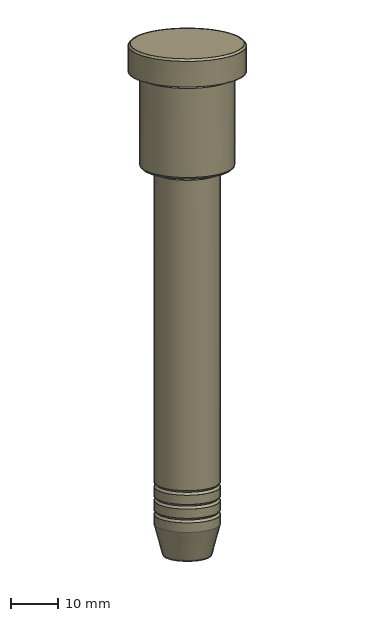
import cadquery as cq
import math

total_length = 112
head_diameter = 25.0
body_diameter = 20.0
shaft_diameter = 14.0

head_height = 6.0
body_bottom = total_length - 27.0
head_bottom = total_length - head_height

head_chamfer = 0.5
body_chamfer = 0.5
undercut_depth = 0.3
undercut_land = 0.6
undercut_height = 1.0

taper_length = 7.0
taper_angle = 15
tip_fillet = 0.5

groove_count = 3
groove_pitch = 3.0
groove_width = 1.0
groove_depth = groove_width / 2
lowest_groove = 9.5


def cylinder(diameter, bottom, top):
    return cq.Workplane("XY").workplane(offset=bottom).circle(diameter / 2).extrude(top - bottom)


def revolve_profile(points):
    return cq.Workplane("XZ").polyline(points).close().revolve(360, (0, 0, 0), (0, 1, 0))


def undercut(diameter, shoulder):
    """Relief ring below a shoulder, sloping back out to the full diameter."""
    outer = diameter / 2
    inner = outer - undercut_depth
    return revolve_profile([
        (inner, shoulder),
        (outer, shoulder),
        (outer, shoulder - undercut_height),
        (inner, shoulder - undercut_land),
    ])


def ring_groove(level):
    """Shallow V-section groove around the shaft."""
    outer = shaft_diameter / 2
    half_width = groove_width / 2
    return revolve_profile([
        (outer, level - half_width),
        (outer - groove_depth, level),
        (outer, level + half_width),
    ])


head = cylinder(head_diameter, head_bottom, total_length).faces(">Z").chamfer(head_chamfer)
body = cylinder(body_diameter, body_bottom, head_bottom).faces("<Z").chamfer(body_chamfer)
body = body.cut(undercut(body_diameter, head_bottom))

shaft = cylinder(shaft_diameter, taper_length, body_bottom)
tip_radius = shaft_diameter / 2 - taper_length * math.tan(math.radians(taper_angle))
tip = revolve_profile([
    (0, 0),
    (tip_radius, 0),
    (shaft_diameter / 2, taper_length),
    (0, taper_length),
]).faces("<Z").fillet(tip_fillet)
shaft = shaft.union(tip).cut(undercut(shaft_diameter, body_bottom))
for index in range(groove_count):
    shaft = shaft.cut(ring_groove(lowest_groove + index * groove_pitch))

result = head.union(body).union(shaft)